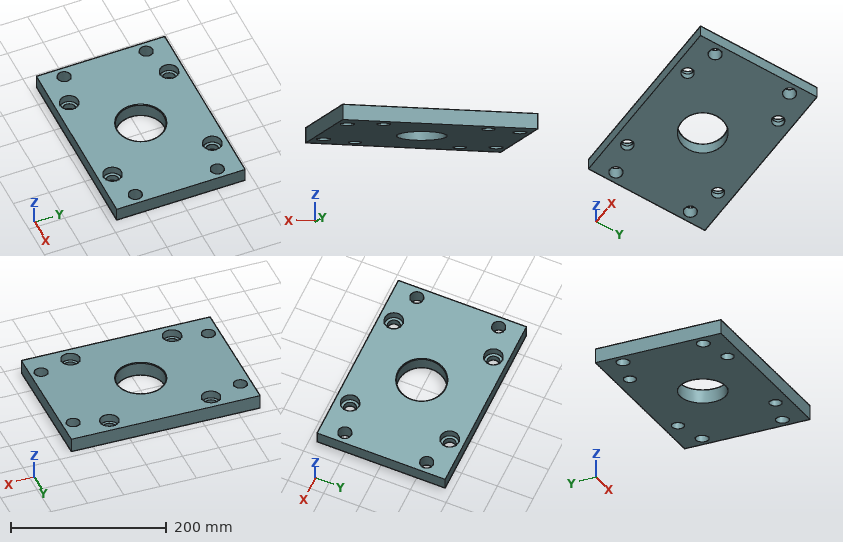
import cadquery as cq

length = 260.0
width = 180.0
thickness = 20.0

bore_diameter = 65.0
bore_chamfer = 1.0

screw_spacing = 140.0
screw_diameter = 17.0
head_diameter = 25.0
head_depth = 11.0

end_hole_spacing_x = 230.0
end_hole_spacing_y = 115.0
end_hole_diameter = 18.0

plate = cq.Workplane("XY").box(length, width, thickness, centered=(True, True, False))

plate = plate.faces(">Z").workplane(origin=(0, 0, 0)).hole(bore_diameter)
plate = plate.faces(">Z").edges("%CIRCLE").chamfer(bore_chamfer)

plate = (
    plate.faces(">Z")
    .workplane(origin=(0, 0, 0))
    .rect(screw_spacing, screw_spacing, forConstruction=True)
    .vertices()
    .cboreHole(screw_diameter, head_diameter, head_depth)
)

result = (
    plate.faces(">Z")
    .workplane(origin=(0, 0, 0))
    .rect(end_hole_spacing_x, end_hole_spacing_y, forConstruction=True)
    .vertices()
    .hole(end_hole_diameter)
)